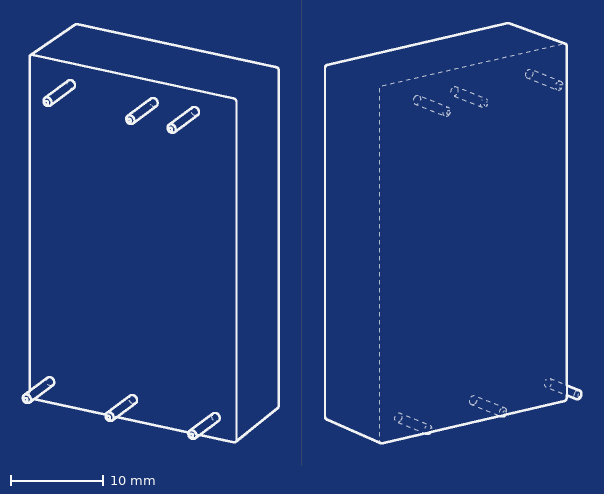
import cadquery as cq
import math

body_width = 25.4
body_height = 40.6
total_depth = 15.8
pin_length = 5.6
body_depth = total_depth - pin_length

wall_inset = 0.15
edge_radius = 0.32

pin_diameter = 1.0
pin_chamfer = 0.3
pin_pitch = body_width / 10
pin_row_z = 7 * pin_pitch
upper_pin_columns = (-3, 1, 3)
lower_pin_columns = (-4, 0, 4)


def make_body():
    """Drafted block with rounded corners and a rounded back edge; front face at Y = 0."""
    draft_angle = math.degrees(math.atan2(wall_inset, body_depth))
    front_plane = cq.Workplane("XZ", origin=(0, 0, 0))
    block = front_plane.rect(body_width, body_height).extrude(-body_depth, taper=draft_angle)
    corner_edges = block.edges("not(#Y)")
    block = corner_edges.fillet(edge_radius)
    return block.faces(">Y").edges().fillet(edge_radius)


def make_pins():
    """Two rows of round pins with chamfered tips, pointing toward -Y."""
    centers = [(column * pin_pitch, pin_row_z) for column in upper_pin_columns]
    centers += [(column * pin_pitch, -pin_row_z) for column in lower_pin_columns]
    pins = cq.Workplane("XZ").pushPoints(centers).circle(pin_diameter / 2).extrude(pin_length)
    return pins.faces("<Y").edges().chamfer(pin_chamfer)


result = make_body().union(make_pins())